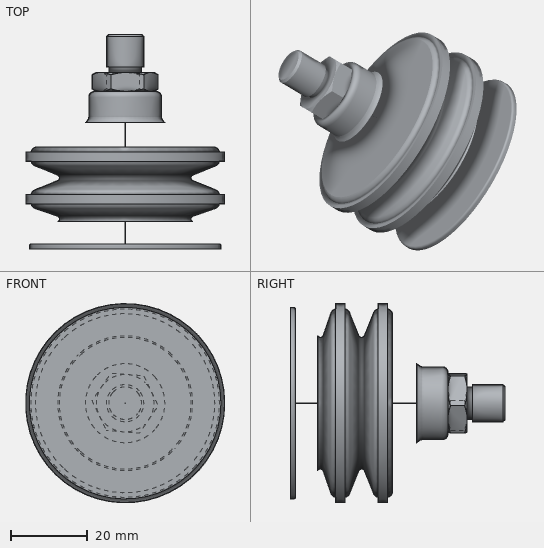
import cadquery as cq
import math


disc_radius = 25.0
disc_thickness = 1.36
disc_edge_fillet = 0.55

bellows_start = 7.15
ring_radius = 26.0
ring_width = 2.5
fold_pitch = 11.1
first_ring_offset = 5.9
shoulder_outer_radius = 24.6
shoulder_inner_radius = 23.4
shoulder_width = 1.25
shoulder_bulge = 0.16
neck_edge_radius = 17.6
neck_waist_radius = 17.2
neck_width = 1.4

fitting_start = 33.0
skirt_radius = 10.35
skirt_height = 1.4
flare_middle_share = 0.3
collar_radius = 19.0 / 2
collar_fillet = 1.5
collar_height = 8.15
hex_across_flats = 15.0
hex_height = 5.0
hex_turn = 4.3
hex_chamfer_angle = 30.0
thread_relief_radius = 8.57 / 2
thread_relief_height = 1.4
thread_radius = 9.73 / 2
thread_chamfer = 0.6
overall_length = 56.08

core_radius = 0.05


def revolve_about_y(profile):
    """Turn a closed profile, drawn as (radius, Y), a full turn about the Y axis."""
    return profile.close().revolve(360, (0, 0, 0), (0, 1, 0))


def cylinder_along_y(radius, start, length):
    """Solid cylinder on the Y axis."""
    return cq.Workplane("XZ", origin=(0, start, 0)).circle(radius).extrude(-length)


def make_disc():
    disc = cylinder_along_y(disc_radius, 0, disc_thickness)
    return disc.faces(">Y").edges().fillet(disc_edge_fillet)


def shoulder_middle(y_start, y_end):
    """Point halfway along a shoulder arc, pushed outward from its chord."""
    radius = (shoulder_outer_radius + shoulder_inner_radius) / 2 + shoulder_bulge
    outward = math.copysign(shoulder_bulge, y_end - y_start)
    return radius, (y_start + y_end) / 2 + outward


def add_neck(profile, y_start):
    """Rounded waist between two folds."""
    waist = (neck_waist_radius, y_start + neck_width / 2)
    return profile.threePointArc(waist, (neck_edge_radius, y_start + neck_width))


def add_fold(profile, ring_middle):
    """Cone, shoulder, square ring and shoulder of one fold."""
    ring_low = ring_middle - ring_width / 2
    ring_high = ring_middle + ring_width / 2
    low = ring_low - shoulder_width
    high = ring_high + shoulder_width
    profile = profile.lineTo(shoulder_inner_radius, low)
    profile = profile.threePointArc(shoulder_middle(ring_low, low), (shoulder_outer_radius, ring_low))
    profile = profile.lineTo(ring_radius, ring_low).lineTo(ring_radius, ring_high)
    profile = profile.lineTo(shoulder_outer_radius, ring_high)
    return profile.threePointArc(shoulder_middle(ring_high, high), (shoulder_inner_radius, high))


def make_bellows():
    first_ring = bellows_start + first_ring_offset
    second_ring = first_ring + fold_pitch
    neck_start = (first_ring + second_ring - neck_width) / 2
    bellows_end = second_ring + ring_width / 2 + shoulder_width
    profile = cq.Workplane("XY").moveTo(0, bellows_start).lineTo(neck_edge_radius, bellows_start)
    profile = add_neck(profile, bellows_start)
    profile = add_fold(profile, first_ring)
    profile = add_neck(profile.lineTo(neck_edge_radius, neck_start), neck_start)
    profile = add_fold(profile, second_ring)
    profile = profile.lineTo(0, bellows_end)
    return revolve_about_y(profile)


def make_collar():
    """Rounded collar that flares out to a thin skirt."""
    skirt_top = fitting_start + skirt_height
    collar_top = fitting_start + collar_height
    flare_radius = collar_radius + (skirt_radius - collar_radius) * flare_middle_share
    flare_middle = (flare_radius, fitting_start + skirt_height / 2)
    profile = cq.Workplane("XY").moveTo(0, fitting_start).lineTo(skirt_radius, fitting_start)
    profile = profile.threePointArc(flare_middle, (collar_radius, skirt_top))
    profile = profile.lineTo(collar_radius, collar_top).lineTo(0, collar_top)
    return revolve_about_y(profile).faces(">Y").edges().fillet(collar_fillet)


def make_hexagon(start):
    """Hexagon with its corners chamfered at both ends."""
    corner_radius = hex_across_flats / 2 / math.cos(math.pi / 6)
    flat_radius = hex_across_flats / 2
    drop = (corner_radius - flat_radius) * math.tan(math.radians(hex_chamfer_angle))
    end = start + hex_height
    hexagon = cq.Workplane("XZ", origin=(0, start, 0)).polygon(6, 2 * corner_radius).extrude(-hex_height)
    hexagon = hexagon.rotate((0, 0, 0), (0, 1, 0), hex_turn)
    envelope = cq.Workplane("XY").moveTo(0, start).lineTo(flat_radius, start)
    envelope = envelope.lineTo(corner_radius, start + drop).lineTo(corner_radius, end - drop)
    envelope = envelope.lineTo(flat_radius, end).lineTo(0, end)
    return hexagon.intersect(revolve_about_y(envelope))


def make_fitting():
    hex_start = fitting_start + collar_height
    relief_start = hex_start + hex_height
    thread_start = relief_start + thread_relief_height
    relief = cylinder_along_y(thread_relief_radius, relief_start, thread_relief_height)
    thread = cylinder_along_y(thread_radius, thread_start, overall_length - thread_start)
    thread = thread.faces(">Y").edges().chamfer(thread_chamfer)
    return make_collar().union(make_hexagon(hex_start)).union(relief).union(thread)


core = cylinder_along_y(core_radius, 0, overall_length)
result = core.union(make_disc()).union(make_bellows()).union(make_fitting())